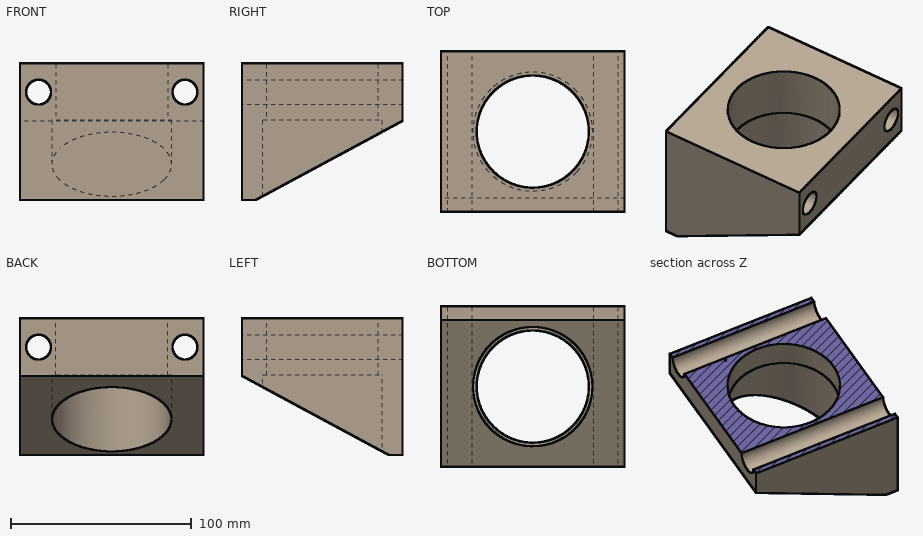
import cadquery as cq

width = 101.6
depth = 88.9
height = 75.8

back_height = 32.0
foot_depth = 7.6

bore_diameter = 62.0
lower_bore_diameter = 66.0
bore_step_depth = 31.5

mount_diameter = 13.6
mount_spacing = 81.0
mount_drop = 16.1


def wedge_body():
    """Block with a sloping underside, extruded along X and centred on X and Y."""
    front = -depth / 2
    back = depth / 2
    profile = [
        (front, 0),
        (front + foot_depth, 0),
        (back, height - back_height),
        (back, height),
        (front, height),
    ]
    return cq.Workplane("YZ").polyline(profile).close().extrude(width / 2, both=True)


def stepped_bore():
    upper = cq.Workplane("XY").circle(bore_diameter / 2).extrude(height)
    lower = cq.Workplane("XY").circle(lower_bore_diameter / 2).extrude(height - bore_step_depth)
    return upper.union(lower)


def mounting_holes():
    return (
        cq.Workplane("XZ", origin=(0, 0, height - mount_drop))
        .pushPoints([(side * mount_spacing / 2, 0) for side in (-1, 1)])
        .circle(mount_diameter / 2)
        .extrude(depth / 2, both=True)
    )


result = wedge_body().cut(stepped_bore()).cut(mounting_holes())